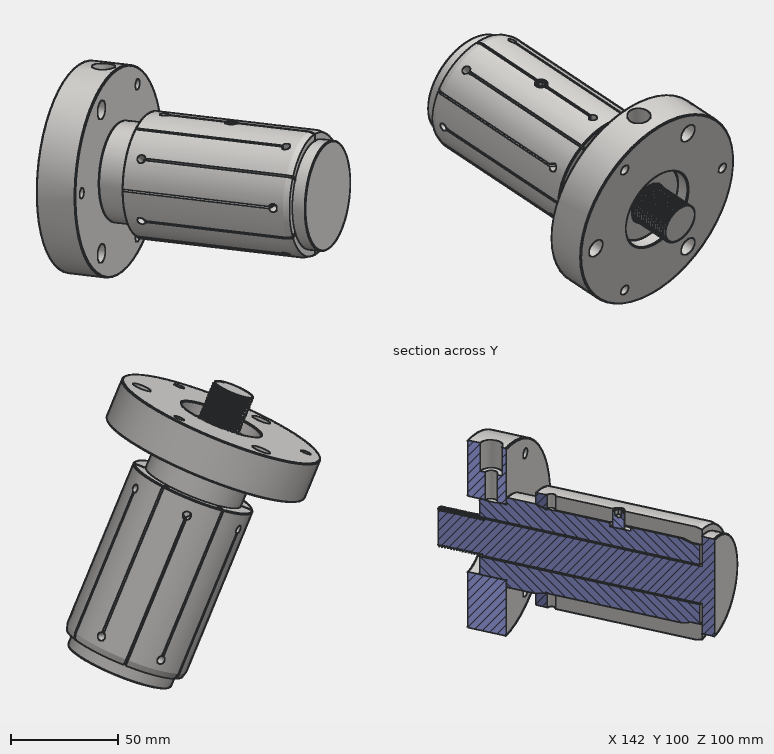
import cadquery as cq
import math

TOTAL_LENGTH = 142.0
EDGE_CHAMFER = 0.5
OVERCUT = 1.4

FLANGE_START = 15.2
FLANGE_THICKNESS = 20.0
FLANGE_DIAMETER = 100.0
FLANGE_BORE = 40.0
FLANGE_END = FLANGE_START + FLANGE_THICKNESS
BOLT_HOLE_DIAMETER = 9.0
BOLT_CIRCLE_RADIUS = 40.0
BOLT_FIRST_ANGLE = 0
JACK_HOLE_DIAMETER = 5.0
JACK_CIRCLE_RADIUS = 42.5
JACK_FIRST_ANGLE = 60
HOLES_PER_CIRCLE = 3
ACCESS_HOLE_X = 27.4
ACCESS_HOLE_DIAMETER = 11.0
ACCESS_HOLE_DEPTH = 15.0
ACCESS_PILOT_DIAMETER = 6.0

SPIGOT_START = 21.3
SPIGOT_CHAMFER_LENGTH = 0.35
SPIGOT_CHAMFER_DROP = 0.7
COLLAR_DIAMETER = 48.0
COLLAR_CHAMFER_LENGTH = 0.7
BARREL_DIAMETER = 45.2
REAR_TAPER_LENGTH = 5.1
RELIEF_WIDTH = 1.1
RELIEF_DEPTH = 0.4
NOSE_TAPER_START = 125.2
NOSE_TAPER_LENGTH = 4.8
NOSE_DIAMETER = 42.3
MANDREL_END = 134.3
BAR_CLEARANCE_DIAMETER = 21.0
KEYWAY_START = 88.3
KEYWAY_END = 98.8
KEYWAY_DEPTH = 2.0

SLEEVE_START = 50.1
SLEEVE_END = 135.3
SLEEVE_DIAMETER = 60.0
SLEEVE_TAPER_LENGTH = 3.0
SLEEVE_TAPER_DROP = 0.9
SLOT_COUNT = 12
SLOT_WIDTH = 1.0
SLOT_HOLE_DIAMETER = 4.0
SLOT_HOLE_INSET = 8.1

SCREW_X = 92.6
SCREW_DIAMETER = 6.0
SCREW_CHAMFER = 0.5
SCREW_SUNK = 0.4
SOCKET_ACROSS_FLATS = 3.0
SOCKET_SIDES = 6
SOCKET_DEPTH = 2.5
DRILL_POINT_DEPTH = 0.9

THREAD_DIAMETER = 20.0
THREAD_LENGTH = 24.0
THREAD_TURNS = 16
THREAD_PITCH = THREAD_LENGTH / THREAD_TURNS
THREAD_DEPTH = 0.81
THREAD_ROOT_FLAT = THREAD_PITCH / 4
THREAD_FLANK_ANGLE = math.radians(30)
GROOVE_OVERCUT = 0.07
HEAD_DIAMETER = 52.0
HEAD_CHAMFER = 0.4


def turned(profile):
    """Revolve (x, radius) points about the X axis."""
    return cq.Workplane("XY").polyline(profile).close().revolve(360, (0, 0, 0), (1, 0, 0))


def cylinder_x(start, end, diameter):
    return cq.Workplane("YZ", origin=(start, 0, 0)).circle(diameter / 2).extrude(end - start)


def cylinder_z(x, bottom, top, diameter):
    return cq.Workplane("XY", origin=(x, 0, bottom)).circle(diameter / 2).extrude(top - bottom)


def flange_holes(diameter, circle_radius, first_angle):
    return (
        cq.Workplane("YZ", origin=(FLANGE_START - OVERCUT, 0, 0))
        .polarArray(circle_radius, first_angle, 360, HOLES_PER_CIRCLE)
        .circle(diameter / 2)
        .extrude(FLANGE_THICKNESS + 2 * OVERCUT)
    )


def make_flange():
    rim = FLANGE_DIAMETER / 2
    body = cylinder_x(FLANGE_START, FLANGE_END, FLANGE_DIAMETER)
    body = body.cut(cylinder_x(FLANGE_START, FLANGE_END, FLANGE_BORE))
    body = body.faces("<X or >X").chamfer(EDGE_CHAMFER)
    body = body.cut(flange_holes(BOLT_HOLE_DIAMETER, BOLT_CIRCLE_RADIUS, BOLT_FIRST_ANGLE))
    body = body.cut(flange_holes(JACK_HOLE_DIAMETER, JACK_CIRCLE_RADIUS, JACK_FIRST_ANGLE))
    access = cylinder_z(ACCESS_HOLE_X, rim - ACCESS_HOLE_DEPTH, rim + OVERCUT, ACCESS_HOLE_DIAMETER)
    pilot = cylinder_z(ACCESS_HOLE_X, 0, rim, ACCESS_PILOT_DIAMETER)
    return body.cut(access).cut(pilot)


def taper_profile():
    """The (x, radius) points where the sleeve seats on the core."""
    return [
        (SLEEVE_START, COLLAR_DIAMETER / 2),
        (SLEEVE_START + REAR_TAPER_LENGTH, BARREL_DIAMETER / 2),
        (NOSE_TAPER_START, BARREL_DIAMETER / 2),
        (NOSE_TAPER_START + NOSE_TAPER_LENGTH, NOSE_DIAMETER / 2),
        (MANDREL_END, NOSE_DIAMETER / 2),
    ]


def relief_ring():
    """A shallow groove behind the barrel, with a 45 degree step back up to it."""
    start = SLEEVE_START + REAR_TAPER_LENGTH
    end = start + RELIEF_WIDTH
    barrel = BARREL_DIAMETER / 2
    floor = barrel - RELIEF_DEPTH
    return turned([(start, barrel), (start, floor), (end - RELIEF_DEPTH, floor), (end, barrel)])


def make_mandrel():
    bore = BAR_CLEARANCE_DIAMETER / 2
    spigot = FLANGE_BORE / 2
    collar = COLLAR_DIAMETER / 2
    body = turned(
        [
            (SPIGOT_START, bore),
            (SPIGOT_START, spigot - SPIGOT_CHAMFER_DROP),
            (SPIGOT_START + SPIGOT_CHAMFER_LENGTH, spigot),
            (FLANGE_END, spigot),
            (FLANGE_END, collar - EDGE_CHAMFER),
            (FLANGE_END + COLLAR_CHAMFER_LENGTH, collar),
            *taper_profile(),
            (MANDREL_END, bore),
        ]
    )
    keyway = (
        cq.Workplane("XY", origin=((KEYWAY_START + KEYWAY_END) / 2, 0, BARREL_DIAMETER / 2 - KEYWAY_DEPTH))
        .slot2D(KEYWAY_END - KEYWAY_START, SCREW_DIAMETER)
        .extrude(KEYWAY_DEPTH)
    )
    return body.cut(relief_ring()).cut(keyway)


def slot_cutter(open_end, hole_x):
    """A radial slot at +Z that runs from a relief hole out through one sleeve end."""
    height = SLEEVE_DIAMETER
    slot = (
        cq.Workplane("XY", origin=((open_end + hole_x) / 2, 0, 0))
        .rect(abs(open_end - hole_x), SLOT_WIDTH)
        .extrude(height)
    )
    return slot.union(cylinder_z(hole_x, 0, height, SLOT_HOLE_DIAMETER))


def make_sleeve():
    outer = SLEEVE_DIAMETER / 2
    body = turned(
        [
            *taper_profile(),
            (SLEEVE_END, NOSE_DIAMETER / 2),
            (SLEEVE_END, outer - SLEEVE_TAPER_DROP),
            (SLEEVE_END - SLEEVE_TAPER_LENGTH, outer),
            (SLEEVE_START + EDGE_CHAMFER, outer),
            (SLEEVE_START, outer - EDGE_CHAMFER),
        ]
    )
    open_front = slot_cutter(SLEEVE_END, SLEEVE_START + SLOT_HOLE_INSET)
    open_rear = slot_cutter(SLEEVE_START, SLEEVE_END - SLOT_HOLE_INSET)
    for index in range(SLOT_COUNT):
        cutter = open_front if index % 2 == 0 else open_rear
        body = body.cut(cutter.rotate((0, 0, 0), (1, 0, 0), index * 360 / SLOT_COUNT))
    return body.cut(cylinder_z(SCREW_X, 0, SLEEVE_DIAMETER, SCREW_DIAMETER))


def make_key_screw():
    top = SLEEVE_DIAMETER / 2 - SCREW_SUNK
    bottom = BARREL_DIAMETER / 2 - KEYWAY_DEPTH
    body = cylinder_z(SCREW_X, bottom, top, SCREW_DIAMETER).faces(">Z").chamfer(SCREW_CHAMFER)
    socket = (
        cq.Workplane("XY", origin=(SCREW_X, 0, top - SOCKET_DEPTH))
        .polygon(SOCKET_SIDES, SOCKET_ACROSS_FLATS / math.cos(math.pi / SOCKET_SIDES))
        .extrude(SOCKET_DEPTH)
    )
    drill_point = cq.Solid.makeCone(
        SOCKET_ACROSS_FLATS / 2,
        0,
        DRILL_POINT_DEPTH,
        pnt=cq.Vector(SCREW_X, 0, top - SOCKET_DEPTH),
        dir=cq.Vector(0, 0, -1),
    )
    return body.cut(socket).cut(drill_point)


def thread_groove():
    """A flat-bottomed V groove that winds along the threaded end of the bar and runs off its free end."""
    crest = THREAD_DIAMETER / 2
    root = crest - THREAD_DEPTH
    outside = crest + GROOVE_OVERCUT
    half_flat = THREAD_ROOT_FLAT / 2
    half_mouth = half_flat + (outside - root) * math.tan(THREAD_FLANK_ANGLE)
    helix = cq.Wire.makeHelix(THREAD_PITCH, THREAD_LENGTH + THREAD_PITCH, crest)
    groove = (
        cq.Workplane("XZ")
        .polyline([(root, -half_flat), (root, half_flat), (outside, half_mouth), (outside, -half_mouth)])
        .close()
        .sweep(cq.Workplane(helix), isFrenet=True)
    )
    along_bar = groove.rotate((0, 0, 0), (0, 1, 0), 90)
    return along_bar.translate((-THREAD_PITCH, 0, 0))


def make_draw_bar():
    head = cylinder_x(SLEEVE_END, TOTAL_LENGTH, HEAD_DIAMETER).faces(">X").chamfer(HEAD_CHAMFER)
    bar = cylinder_x(0, SLEEVE_END, THREAD_DIAMETER).cut(thread_groove())
    return bar.union(head)


flange = make_flange()
mandrel = make_mandrel()
sleeve = make_sleeve()
key_screw = make_key_screw()
draw_bar = make_draw_bar()

result = cq.Compound.makeCompound(
    [flange.val(), mandrel.val(), sleeve.val(), key_screw.val(), draw_bar.val()]
)